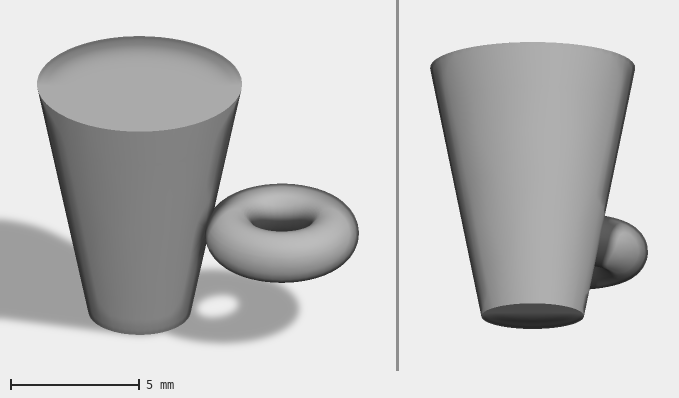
import cadquery as cq

overall_length = 11

top_diameter = 8.0
top_radius = top_diameter / 2
bottom_radius = top_radius / 2
body_height = 10.0

ring_offset = top_radius
ring_outer_radius = overall_length - top_radius - ring_offset
tube_radius = ring_outer_radius / 3
ring_path_radius = ring_outer_radius - tube_radius
ring_centre_height = 4 * tube_radius


def tapered_body():
    """Cone frustum standing on its small end, axis on Z."""
    return cq.Workplane(cq.Solid.makeCone(bottom_radius, top_radius, body_height))


def ring_handle():
    """Horizontal torus that bites slightly into the side of the body."""
    centre = cq.Vector(ring_offset, ring_offset, ring_centre_height)
    axis = cq.Vector(0, 0, 1)
    return cq.Workplane(cq.Solid.makeTorus(ring_path_radius, tube_radius, centre, axis))


result = tapered_body().union(ring_handle())